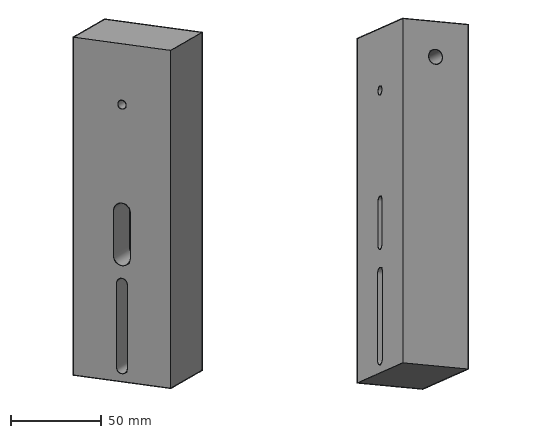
import cadquery as cq

width = 60.0
depth = 40.0
height = 195.0

pin_hole_diameter = 5.0
pin_hole_z = 159.9

upper_slot_z = 85.0
upper_slot_width = pin_hole_diameter
upper_slot_length = 30.0
recess_width = 10.3
recess_length = 36.0
recess_depth = depth / 2

lower_slot_z = 32.2
lower_slot_width = 6.6
lower_slot_length = 55.0

side_hole_diameter = 8.4
side_hole_from_top = 20.0
side_hole_depth = width / 2


def front_plane(z):
    """Sketch plane on the front face at height z, extruding into the block."""
    return cq.Workplane("XZ", origin=(0, -depth / 2, z))


def front_slot(z, slot_width, slot_length, slot_depth):
    """Upright round-ended slot cutter, sized by its overall length."""
    return front_plane(z).slot2D(slot_length, slot_width, 90).extrude(-slot_depth)


block = cq.Workplane("XY").box(width, depth, height, centered=(True, True, False))

pin_hole = front_plane(pin_hole_z).circle(pin_hole_diameter / 2).extrude(-depth)
upper_slot = front_slot(upper_slot_z, upper_slot_width, upper_slot_length, depth)
recess = front_slot(upper_slot_z, recess_width, recess_length, recess_depth)
lower_slot = front_slot(lower_slot_z, lower_slot_width, lower_slot_length, depth)

side_hole = (
    cq.Workplane("YZ", origin=(-width / 2, 0, height - side_hole_from_top))
    .circle(side_hole_diameter / 2)
    .extrude(side_hole_depth)
)

result = block
for cutter in (pin_hole, upper_slot, recess, lower_slot, side_hole):
    result = result.cut(cutter)